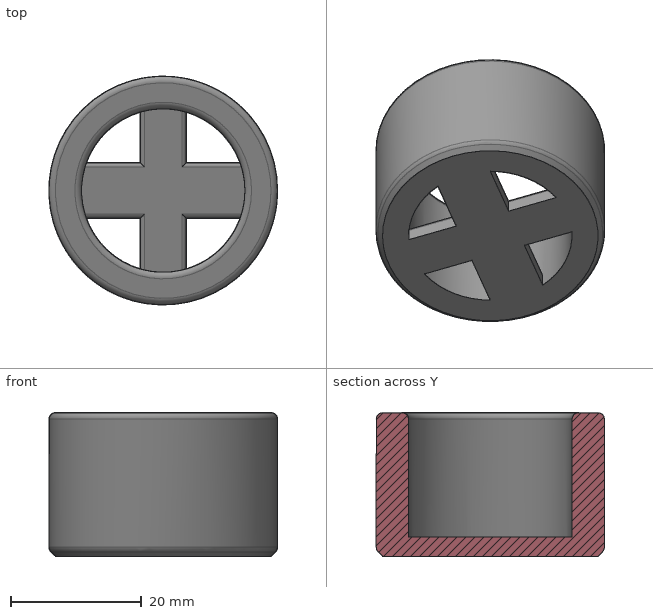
import cadquery as cq

outer_diameter = 35.0
bore_diameter = 25.0
height = 22.0
edge_size = 1.0

x_arm_width = 8.55
y_arm_width = 7.07
cross_thickness = 3.0
cross_rounding = 0.7


def make_ring():
    """Tube with rounded rims and a bottom chamfer that blends into the side."""
    body = cq.Workplane("XY").circle(outer_diameter / 2).extrude(height)
    body = body.faces("<Z").edges().chamfer(edge_size)
    side_start = cq.selectors.NearestToPointSelector((0, 0, edge_size))
    body = body.edges("%CIRCLE").edges(side_start).fillet(edge_size)
    bore = cq.Workplane("XY").circle(bore_diameter / 2).extrude(height)
    return body.cut(bore).faces(">Z").edges().fillet(edge_size)


def make_cross():
    """Two crossing bars with rounded upper edges, trimmed inside the wall."""
    wall_middle_diameter = (outer_diameter + bore_diameter) / 2
    x_arm = cq.Workplane("XY").box(
        outer_diameter, x_arm_width, cross_thickness, centered=(True, True, False)
    )
    y_arm = cq.Workplane("XY").box(
        y_arm_width, outer_diameter, cross_thickness, centered=(True, True, False)
    )
    cross = x_arm.union(y_arm).faces(">Z").edges().fillet(cross_rounding)
    trim = cq.Workplane("XY").circle(wall_middle_diameter / 2).extrude(cross_thickness)
    return cross.intersect(trim)


result = make_ring().union(make_cross())